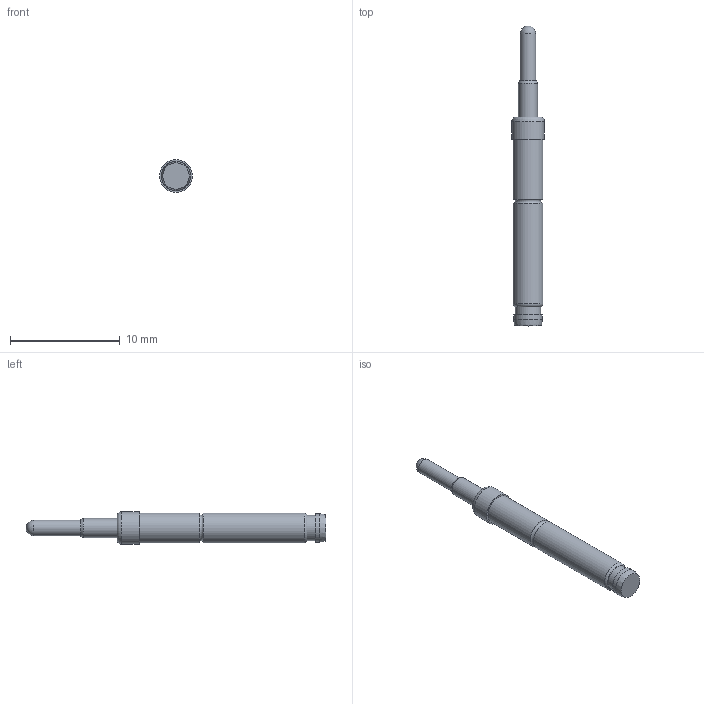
import cadquery as cq
import math


tip_radius = 0.7
tip_end = 10.3
tip_length = 5.0
plunger_radius = 0.875
plunger_chamfer_depth = 0.1
plunger_chamfer_length = 0.2

flange_radius = 1.5
flange_length = 2.0
flange_rim_length = 0.4
flange_rim_drop = 0.2

barrel_radius = 1.35
groove_middle = -5.65
groove_radius = 0.2
barrel_end = -15.25
barrel_rim_length = 0.25
barrel_rim_drop = 0.15

neck_radius = 1.15
collar_start = -16.0
collar_radius = 1.3
collar_rim_length = 0.6
collar_rim_drop = 0.1
tail_end = -17.0


def rim_arc_middle(radius, face_y, length, drop, facing):
    """Return the midpoint of an arc that leaves a cylinder tangentially and ends on a face.

    The arc takes up `length` along the axis and loses `drop` in radius.
    `facing` is 1 for a face towards +Y and -1 for a face towards -Y.
    """
    arc_radius = (length**2 + drop**2) / (2 * drop)
    half_turn = math.asin(length / arc_radius) / 2
    arc_start_y = face_y - facing * length
    return (
        radius - arc_radius * (1 - math.cos(half_turn)),
        arc_start_y + facing * arc_radius * math.sin(half_turn),
    )


def draw_plunger(profile):
    """Trace from the hemispherical tip down to the top of the flange."""
    tip_centre = tip_end - tip_radius
    tip_diagonal = tip_radius * math.sqrt(0.5)
    shoulder = tip_end - tip_length
    return (
        profile.moveTo(0, tip_end)
        .threePointArc((tip_diagonal, tip_centre + tip_diagonal), (tip_radius, tip_centre))
        .lineTo(tip_radius, shoulder)
        .lineTo(plunger_radius - plunger_chamfer_depth, shoulder)
        .lineTo(plunger_radius, shoulder - plunger_chamfer_length)
        .lineTo(plunger_radius, flange_length)
    )


def draw_flange(profile):
    """Trace the flange from its plunger side down to its seat."""
    rim_middle = rim_arc_middle(flange_radius, flange_length, flange_rim_length, flange_rim_drop, 1)
    return (
        profile.lineTo(flange_radius - flange_rim_drop, flange_length)
        .threePointArc(rim_middle, (flange_radius, flange_length - flange_rim_length))
        .lineTo(flange_radius, 0)
    )


def draw_barrel(profile):
    """Trace the barrel and its groove from the flange seat to the top of the neck."""
    groove_floor = (barrel_radius - groove_radius, groove_middle)
    rim_middle = rim_arc_middle(barrel_radius, barrel_end, barrel_rim_length, barrel_rim_drop, -1)
    return (
        profile.lineTo(barrel_radius, 0)
        .lineTo(barrel_radius, groove_middle + groove_radius)
        .threePointArc(groove_floor, (barrel_radius, groove_middle - groove_radius))
        .lineTo(barrel_radius, barrel_end + barrel_rim_length)
        .threePointArc(rim_middle, (barrel_radius - barrel_rim_drop, barrel_end))
        .lineTo(neck_radius, barrel_end)
    )


def draw_tail(profile):
    """Trace the neck and the collar down to the centre of the end face."""
    rim_middle = rim_arc_middle(collar_radius, tail_end, collar_rim_length, collar_rim_drop, -1)
    return (
        profile.lineTo(neck_radius, collar_start)
        .lineTo(collar_radius, collar_start)
        .lineTo(collar_radius, tail_end + collar_rim_length)
        .threePointArc(rim_middle, (collar_radius - collar_rim_drop, tail_end))
        .lineTo(0, tail_end)
    )


profile = cq.Workplane("XY")
for draw_section in (draw_plunger, draw_flange, draw_barrel, draw_tail):
    profile = draw_section(profile)
result = profile.close().revolve(360, (0, 0, 0), (0, 1, 0))